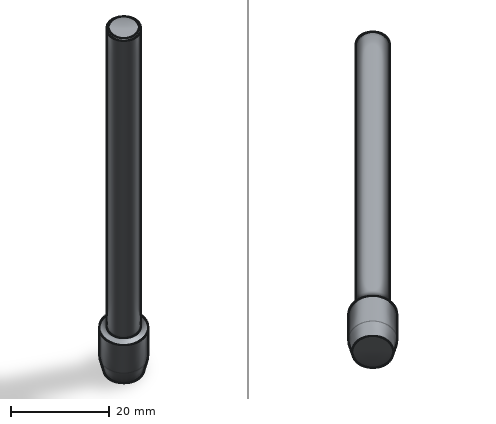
import cadquery as cq

overall_length = 100.0

tip_radius = 5.0
tip_nose_radius = 4.2
tip_taper_height = 3.8
tip_shoulder_height = 12.0
tip_height = 12.5

rod_radius = 3.5
rod_end_chamfer = 0.4
rod_length = overall_length - tip_height


def make_rod():
    """Round rod on the flat top of the tip, with a chamfered upper end."""
    rod = cq.Workplane("XY", origin=(0, 0, tip_height)).circle(rod_radius).extrude(rod_length)
    return rod.faces(">Z").edges().chamfer(rod_end_chamfer)


def make_tip():
    """Turned tip: tapered nose, straight barrel and a shoulder that slopes up to the rod."""
    return (
        cq.Workplane("XZ")
        .lineTo(tip_nose_radius, 0)
        .lineTo(tip_radius, tip_taper_height)
        .lineTo(tip_radius, tip_shoulder_height)
        .lineTo(rod_radius, tip_height)
        .lineTo(0, tip_height)
        .close()
        .revolve(360, (0, 0, 0), (0, 1, 0))
    )


rod = make_rod()
tip = make_tip()

result = cq.Compound.makeCompound([rod.val(), tip.val()])